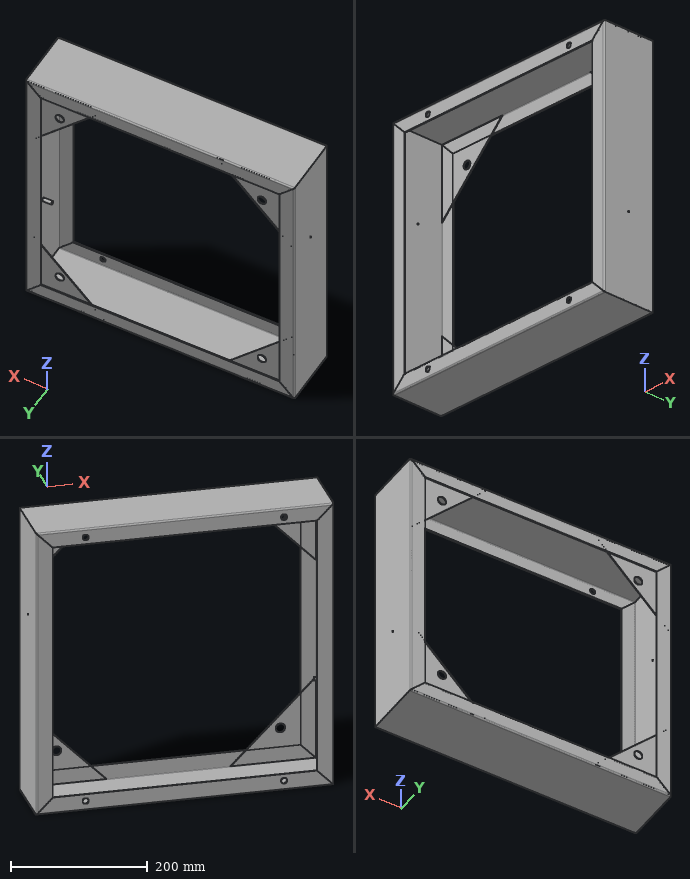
import cadquery as cq
SIZE = 450.0
DEPTH = 100.0
SHEET = 2.0
FLANGE = 25.0
BEND_INNER = 0.5
BEND_OUTER = SHEET + BEND_INNER
HALF_SIZE = SIZE / 2
HALF_DEPTH = DEPTH / 2

FLANGE_HOLE_DIAMETER = 9.0
FLANGE_HOLE_OFFSET = SIZE / 3
FLANGE_HOLE_EDGE = 14.5

PILOT_DIAMETER = 2.0
PILOT_OFFSET = -SIZE / 6
STUD_DIAMETER = 6.0
STUD_LENGTH = 15.0

GUSSET_THICKNESS = 1.0
GUSSET_REACH = 133.5
GUSSET_HOLE_DIAMETER = 14.0
GUSSET_HOLE_OFFSET = 169.0

QUARTER_TURN = 90


def turned(body, quarter_turns):
    """Turn a body about the Y axis by whole quarter turns."""
    return body.rotate((0, 0, 0), (0, 1, 0), quarter_turns * QUARTER_TURN)


def channel_rail():
    """Bottom rail: a C channel along X, open towards the frame centre, with mitred ends."""
    outside = (
        cq.Workplane("XY")
        .box(SIZE, DEPTH, FLANGE, centered=(True, True, False))
        .edges("|X and <Z")
        .fillet(BEND_OUTER)
    )
    inside = (
        cq.Workplane("XY")
        .box(SIZE, DEPTH - 2 * SHEET, FLANGE, centered=(True, True, False))
        .edges("|X and <Z")
        .fillet(BEND_INNER)
        .translate((0, 0, SHEET))
    )
    mitred_block = (
        cq.Workplane("XZ")
        .polyline([
            (-HALF_SIZE, -HALF_SIZE),
            (HALF_SIZE, -HALF_SIZE),
            (HALF_SIZE - FLANGE, FLANGE - HALF_SIZE),
            (FLANGE - HALF_SIZE, FLANGE - HALF_SIZE),
        ])
        .close()
        .extrude(HALF_DEPTH, both=True)
    )
    return outside.cut(inside).translate((0, 0, -HALF_SIZE)).intersect(mitred_block)


def flange_rail():
    """Bottom rail with two mounting holes in its front flange."""
    holes = (
        cq.Workplane("XZ")
        .pushPoints([(side * FLANGE_HOLE_OFFSET, FLANGE_HOLE_EDGE - HALF_SIZE) for side in (-1, 1)])
        .circle(FLANGE_HOLE_DIAMETER / 2)
        .extrude(HALF_DEPTH)
    )
    return channel_rail().cut(holes)


def pilot_rail():
    """Bottom rail with one pilot hole through its web."""
    pilot = (
        cq.Workplane("XY", origin=(PILOT_OFFSET, 0, -HALF_SIZE))
        .circle(PILOT_DIAMETER / 2)
        .extrude(SHEET)
    )
    return channel_rail().cut(pilot)


def corner_gusset():
    """Triangular plate in the lower left corner, clear of the rail bends."""
    near = BEND_OUTER - HALF_SIZE
    far = GUSSET_REACH - BEND_OUTER - HALF_SIZE
    return (
        cq.Workplane("XZ", origin=(0, HALF_DEPTH - SHEET, 0))
        .polyline([(near, near), (far, near), (near, far)])
        .close()
        .pushPoints([(-GUSSET_HOLE_OFFSET, -GUSSET_HOLE_OFFSET)])
        .circle(GUSSET_HOLE_DIAMETER / 2)
        .extrude(GUSSET_THICKNESS)
    )


def wall_stud():
    """Round stud standing on the inner face of the right rail, over its pilot hole."""
    return (
        cq.Workplane("YZ", origin=(HALF_SIZE - SHEET, 0, PILOT_OFFSET))
        .circle(STUD_DIAMETER / 2)
        .extrude(-STUD_LENGTH)
    )


flange_rails = [turned(flange_rail(), turns) for turns in (0, 2)]
pilot_rails = [turned(pilot_rail(), turns) for turns in (1, 3)]
gussets = [turned(corner_gusset(), turns) for turns in range(4)]
stud = wall_stud()

result = cq.Compound.makeCompound([
    *[rail.val() for rail in flange_rails],
    *[rail.val() for rail in pilot_rails],
    *[gusset.val() for gusset in gussets],
    stud.val(),
])